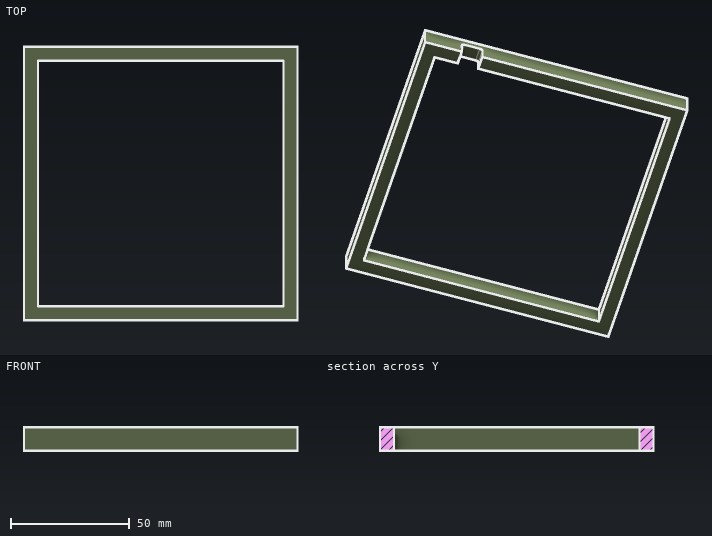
import cadquery as cq

side = 115.5
height = 10.0
wall = 6.0
opening = side - 2 * wall

notch_width = 9.0
notch_height = 6.4
notch_corner_radius = 1.2
notch_center_y = 37.1


def make_frame():
    """Square ring standing on Z = 0."""
    return cq.Workplane("XY").rect(side, side).rect(opening, opening).extrude(height)


def make_notch():
    """Block that fills the notch, with its two upper edges rounded."""
    return (
        cq.Workplane("XY")
        .box(wall, notch_width, notch_height, centered=(False, True, False))
        .edges("|X and >Z")
        .fillet(notch_corner_radius)
        .translate((-side / 2, notch_center_y, 0))
    )


result = make_frame().cut(make_notch())